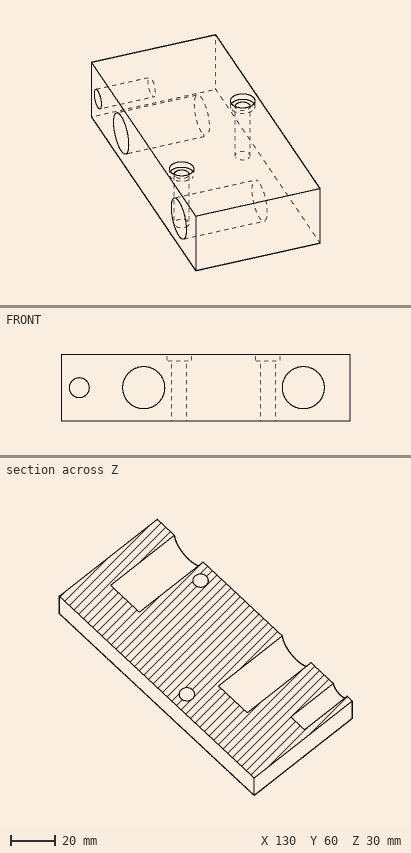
import cadquery as cq

length = 130.0
width = 60.0
height = 30.0

port_diameter = 19.0
port_depth = 39.0
port_positions = [37.0, 109.0]
pilot_diameter = 9.0
pilot_depth = 26.0
pilot_position = 8.0

bolt_diameter = 6.8
counterbore_diameter = 11.0
counterbore_depth = 3.0
bolt_edge_distance = 7.5
bolt_centers = [
    (53.0, width - bolt_edge_distance),
    (93.0, bolt_edge_distance),
]


def front_hole(x, diameter, depth):
    """Cylinder running from the front face into the block."""
    center = cq.Vector(x, 0, height / 2)
    return cq.Workplane(cq.Solid.makeCylinder(diameter / 2, depth, center, cq.Vector(0, 1, 0)))


result = cq.Workplane("XY").box(length, width, height, centered=False)

for port_position in port_positions:
    result = result.cut(front_hole(port_position, port_diameter, port_depth))

result = result.cut(front_hole(pilot_position, pilot_diameter, pilot_depth))

result = (
    result.faces(">Z")
    .workplane(origin=(0, 0, height))
    .pushPoints(bolt_centers)
    .cboreHole(bolt_diameter, counterbore_diameter, counterbore_depth)
)